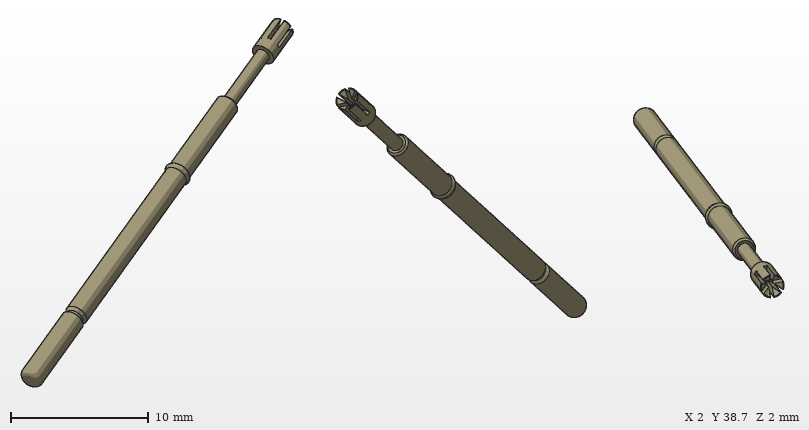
import cadquery as cq

overall_length = 38.7
head_length = 2.98
plunger_length = 8.32
collar_front = 3.52
collar_width = 0.45
groove_front = -12.15
groove_width = 0.58
groove_depth = 0.2
groove_ramp = 0.25
tail_round_length = 0.43
mouth_chamfer = 0.15

collar_diameter = 2.0
barrel_diameter = 1.75
head_diameter = 1.78
rod_diameter = 1.05
tail_flat_diameter = 0.77

slot_width = 0.27
slot_depth = 2.05
through_slots = 3
tip_land = 0.08

tip = overall_length / 2
tail = -tip
head_back = tip - head_length
barrel_front = tip - plunger_length
barrel_radius = barrel_diameter / 2
head_radius = head_diameter / 2
rod_radius = rod_diameter / 2
tail_flat_radius = tail_flat_diameter / 2
groove_run = groove_width - groove_ramp
tail_round_width = barrel_radius - tail_flat_radius
recess_radius = head_radius - tip_land
recess_depth = recess_radius


def tangent_arc_radius(run, rise):
    """Radius of an arc that starts along `run` and climbs by `rise` at its end."""
    return (run**2 + rise**2) / (2 * rise)


def revolved_body():
    """Head, rod and barrel turned in one piece; the profile holds (radius, Y) points."""
    collar_back = collar_front - collar_width
    groove_back = groove_front - groove_width
    groove_bottom = (barrel_radius - groove_depth, groove_front - groove_ramp)
    groove_radius = tangent_arc_radius(groove_run, groove_depth)
    tail_round_radius = tangent_arc_radius(tail_round_width, tail_round_length)
    profile = (
        cq.Workplane("XY")
        .moveTo(0, tip)
        .lineTo(head_radius, tip)
        .lineTo(head_radius, head_back)
        .lineTo(rod_radius, head_back)
        .lineTo(rod_radius, barrel_front)
        .lineTo(barrel_radius - mouth_chamfer, barrel_front)
        .lineTo(barrel_radius, barrel_front - mouth_chamfer)
        .lineTo(barrel_radius, collar_front)
        .threePointArc(
            (collar_diameter / 2, collar_front - collar_width / 2),
            (barrel_radius, collar_back),
        )
        .lineTo(barrel_radius, groove_front)
        .lineTo(*groove_bottom)
        .radiusArc((barrel_radius, groove_back), -groove_radius)
        .lineTo(barrel_radius, tail + tail_round_length)
        .radiusArc((tail_flat_radius, tail), tail_round_radius)
        .lineTo(0, tail)
        .close()
    )
    return profile.revolve(360, (0, 0, 0), (0, 1, 0))


def end_recess():
    """Cone that hollows the head's end face and sharpens the prongs."""
    profile = (
        cq.Workplane("XY")
        .moveTo(0, tip)
        .lineTo(recess_radius, tip)
        .lineTo(0, tip - recess_depth)
        .close()
    )
    return profile.revolve(360, (0, 0, 0), (0, 1, 0))


def crown_slot(angle):
    """Slot across the whole head, turned about the Y axis from the vertical."""
    slot = cq.Workplane("XY").box(slot_width, slot_depth, 2 * head_diameter)
    slot = slot.translate((0, tip - slot_depth / 2, 0))
    return slot.rotate((0, 0, 0), (0, 1, 0), angle)


result = revolved_body().cut(end_recess())
for index in range(through_slots):
    result = result.cut(crown_slot(index * 180 / through_slots))